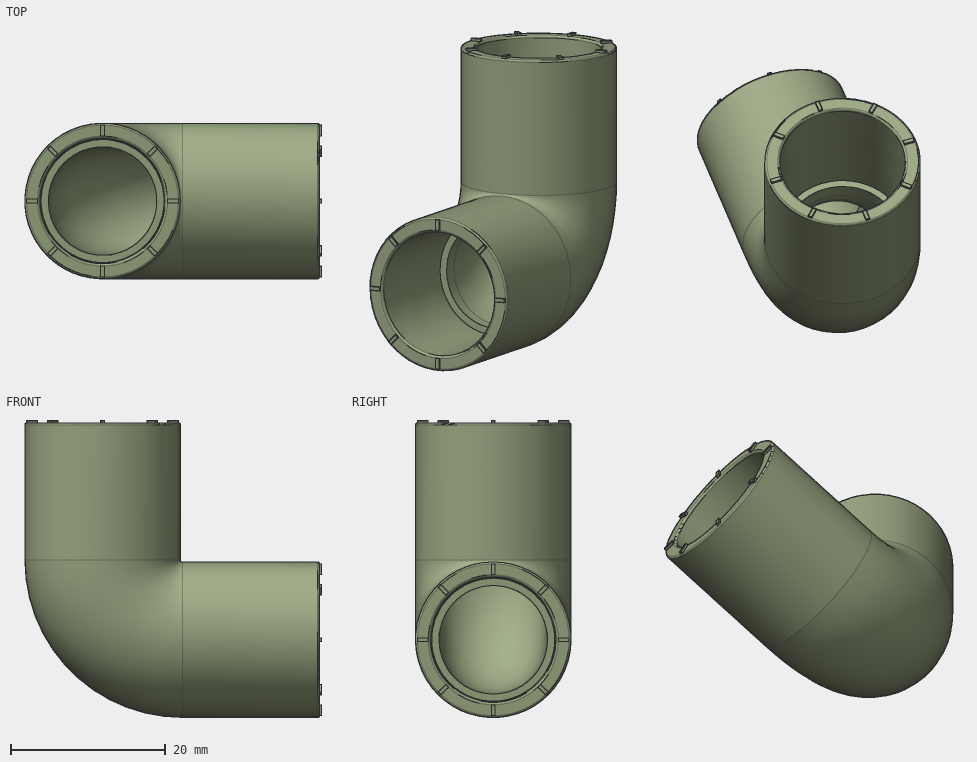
import cadquery as cq

OUTER_RADIUS = 20.1 / 2
BORE_RADIUS = 14.0 / 2
BEND_RADIUS = 10.3
COLLAR_LENGTH = 2.0
RIM_HEIGHT = 28.0

SOCKET_FLOOR_RADIUS = 15.9 / 2
SOCKET_MOUTH_RADIUS = 16.2 / 2
MOUTH_ROUNDING = 0.3
RIM_ROUNDING = 0.25

RIB_COUNT = 8
RIB_WIDTH = 0.5
RIB_HEIGHT = 0.3

COLLAR_TOP = BEND_RADIUS + COLLAR_LENGTH
RIM_OUTER_RADIUS = OUTER_RADIUS - RIM_ROUNDING
RIM_INNER_RADIUS = SOCKET_MOUTH_RADIUS + MOUTH_ROUNDING


def upright_cylinder(radius, bottom, top):
    return cq.Workplane("XY").workplane(offset=bottom).circle(radius).extrude(top - bottom)


def quarter_bend(radius):
    """Quarter torus from the upright arm to the +X arm."""
    return (
        cq.Workplane("XY")
        .workplane(offset=BEND_RADIUS)
        .circle(radius)
        .revolve(90, (BEND_RADIUS, 1, 0), (BEND_RADIUS, 0, 0))
    )


def both_arms(upright):
    """Add the copy on the +X arm: a half turn about the X = Z diagonal swaps X and Z."""
    return upright.union(upright.rotate((0, 0, 0), (1, 0, 1), 180))


def arm_body():
    arm = upright_cylinder(OUTER_RADIUS, BEND_RADIUS, RIM_HEIGHT)
    return arm.faces(">Z").edges().fillet(RIM_ROUNDING)


def arm_cavity():
    """Plain bore, flat socket floor and a socket that widens to its rounded mouth."""
    bore = upright_cylinder(BORE_RADIUS, BEND_RADIUS, COLLAR_TOP)
    mouth_start = RIM_HEIGHT - MOUTH_ROUNDING
    socket = (
        cq.Workplane("XZ")
        .moveTo(0, COLLAR_TOP)
        .lineTo(SOCKET_FLOOR_RADIUS, COLLAR_TOP)
        .lineTo(SOCKET_MOUTH_RADIUS, mouth_start)
        .radiusArc((RIM_INNER_RADIUS, RIM_HEIGHT), MOUTH_ROUNDING)
        .lineTo(0, RIM_HEIGHT)
        .close()
        .revolve(360, (0, 0, 0), (0, 1, 0))
    )
    return bore.union(socket)


def rim_ribs():
    """Radial bars across the flat of the rim."""
    rib_length = RIM_OUTER_RADIUS - RIM_INNER_RADIUS
    rib = (
        cq.Workplane("XY")
        .box(rib_length, RIB_WIDTH, RIB_HEIGHT, centered=(False, True, False))
        .translate((RIM_INNER_RADIUS, 0, RIM_HEIGHT))
    )
    ribs = rib
    for index in range(1, RIB_COUNT):
        ribs = ribs.union(rib.rotate((0, 0, 0), (0, 0, 1), index * 360 / RIB_COUNT))
    return ribs


outside = quarter_bend(OUTER_RADIUS).union(both_arms(arm_body()))
inside = quarter_bend(BORE_RADIUS).union(both_arms(arm_cavity()))
result = outside.cut(inside).union(both_arms(rim_ribs()))